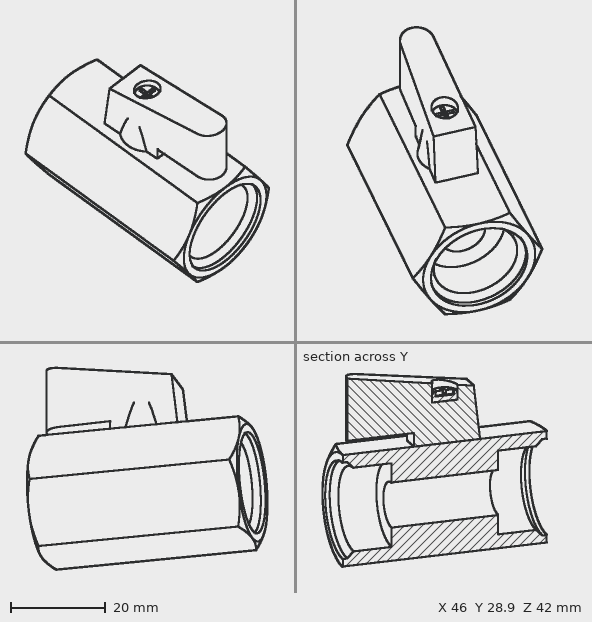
import cadquery as cq
import math

LENGTH = 46.0
OVERALL_HEIGHT = 42.0
ACROSS_FLATS = 25.02
HEX_RADIUS = ACROSS_FLATS / math.sqrt(3)
FLAT_Z = ACROSS_FLATS / 2
END_CHAMFER_ANGLE = 30.0

MOUTH_DIAMETER = 21.5
MOUTH_DEPTH = 1.0
SOCKET_DIAMETER = 18.65
SOCKET_DEPTH = 11.0
LEAD_IN_LENGTH = (MOUTH_DIAMETER - SOCKET_DIAMETER) / 2
PASSAGE_DIAMETER = 10.0

HEEL_BOTTOM_X = -8.0
HEEL_TOP_X = -6.6
HEEL_HEIGHT = 12.05
TIP_X = 22.0
TIP_HEIGHT = OVERALL_HEIGHT - ACROSS_FLATS
FOOT_END_X = 7.0
GRIP_CLEARANCE = 2.95
HEEL_HALF_WIDTH = 4.75
TIP_RADIUS = 3.7

BOSS_RADIUS = 5.8
BOSS_TAPER = 9.7
BOSS_HEIGHT = 9.2

SCREW_DIAMETER = 5.6
SCREW_SEAT_HEIGHT = 9.4
SCREW_HEAD_HEIGHT = 2.25
SCREW_ROUNDING = 0.5
CROSS_LENGTH = 4.0
CROSS_WIDTH = 0.75
CROSS_DEPTH = 1.0


def make_end_chamfer_envelope():
    """Double-coned solid of revolution that trims the hexagon's end corners."""
    half = LENGTH / 2
    rise = half * math.tan(math.radians(90 - END_CHAMFER_ANGLE))
    ridge_radius = FLAT_Z + rise
    outline = [(-half, 0), (-half, FLAT_Z), (0, ridge_radius), (half, FLAT_Z), (half, 0)]
    return cq.Workplane("XY").polyline(outline).close().revolve(360, (0, 0, 0), (1, 0, 0))


def make_bore():
    """Stepped bore with a socket in each end and a passage between them."""
    half = LENGTH / 2
    mouth_x = half - MOUTH_DEPTH
    lead_in_x = mouth_x - LEAD_IN_LENGTH
    socket_x = half - SOCKET_DEPTH
    right_half = [
        (socket_x, PASSAGE_DIAMETER / 2),
        (socket_x, SOCKET_DIAMETER / 2),
        (lead_in_x, SOCKET_DIAMETER / 2),
        (mouth_x, MOUTH_DIAMETER / 2),
        (half, MOUTH_DIAMETER / 2),
        (half, 0),
    ]
    left_half = [(-x, radius) for x, radius in reversed(right_half)]
    outline = left_half + right_half
    return cq.Workplane("XY").polyline(outline).close().revolve(360, (0, 0, 0), (1, 0, 0))


def make_housing():
    """Hexagonal bar with two corners on the Y axis, chamfered and bored."""
    bar = (
        cq.Workplane("YZ")
        .polygon(6, 2 * HEX_RADIUS)
        .extrude(LENGTH / 2, both=True)
    )
    return bar.intersect(make_end_chamfer_envelope()).cut(make_bore())


def make_lever_plan():
    """Tapered plan outline, its straight sides tangent to the round tip."""
    tip_centre_x = TIP_X - TIP_RADIUS
    heel_distance = tip_centre_x - HEEL_BOTTOM_X
    tangent_angle = math.atan2(HEEL_HALF_WIDTH, -heel_distance) - math.acos(
        TIP_RADIUS / math.hypot(heel_distance, HEEL_HALF_WIDTH)
    )
    tangent_x = tip_centre_x + TIP_RADIUS * math.cos(tangent_angle)
    tangent_y = TIP_RADIUS * math.sin(tangent_angle)
    return (
        cq.Workplane("XY", origin=(0, 0, FLAT_Z))
        .moveTo(HEEL_BOTTOM_X, -HEEL_HALF_WIDTH)
        .lineTo(tangent_x, -tangent_y)
        .threePointArc((TIP_X, 0), (tangent_x, tangent_y))
        .lineTo(HEEL_BOTTOM_X, HEEL_HALF_WIDTH)
        .close()
        .extrude(TIP_HEIGHT)
    )


def make_lever_side():
    """Side outline with a sloping top and heel, raised clear under the grip."""
    outline = [
        (HEEL_BOTTOM_X, 0),
        (FOOT_END_X, 0),
        (FOOT_END_X, GRIP_CLEARANCE),
        (TIP_X, GRIP_CLEARANCE),
        (TIP_X, TIP_HEIGHT),
        (HEEL_TOP_X, HEEL_HEIGHT),
    ]
    return (
        cq.Workplane("XZ", origin=(0, 0, FLAT_Z))
        .polyline(outline)
        .close()
        .extrude(BOSS_RADIUS, both=True)
    )


def make_handle():
    """Lever with a conical boss and a flat-bottomed hole for the screw."""
    lever = make_lever_plan().intersect(make_lever_side())
    boss = (
        cq.Workplane("XY", origin=(0, 0, FLAT_Z))
        .circle(BOSS_RADIUS)
        .extrude(BOSS_HEIGHT, taper=BOSS_TAPER)
    )
    screw_hole = (
        cq.Workplane("XY", origin=(0, 0, FLAT_Z + SCREW_SEAT_HEIGHT))
        .circle(SCREW_DIAMETER / 2)
        .extrude(TIP_HEIGHT - SCREW_SEAT_HEIGHT)
    )
    return lever.union(boss).cut(screw_hole)


def make_screw():
    """Round screw head with a rounded rim and a cross recess."""
    seat_z = FLAT_Z + SCREW_SEAT_HEIGHT
    head = (
        cq.Workplane("XY", origin=(0, 0, seat_z))
        .circle(SCREW_DIAMETER / 2)
        .extrude(SCREW_HEAD_HEIGHT)
        .faces(">Z")
        .edges()
        .fillet(SCREW_ROUNDING)
    )
    for angle in (0, 90):
        slot = (
            cq.Workplane("XY", origin=(0, 0, seat_z + SCREW_HEAD_HEIGHT))
            .transformed(rotate=(0, 0, angle))
            .rect(CROSS_LENGTH, CROSS_WIDTH)
            .extrude(-CROSS_DEPTH)
        )
        head = head.cut(slot)
    return head


housing = make_housing()
handle = make_handle()
screw = make_screw()

result = cq.Compound.makeCompound([housing.val(), handle.val(), screw.val()])